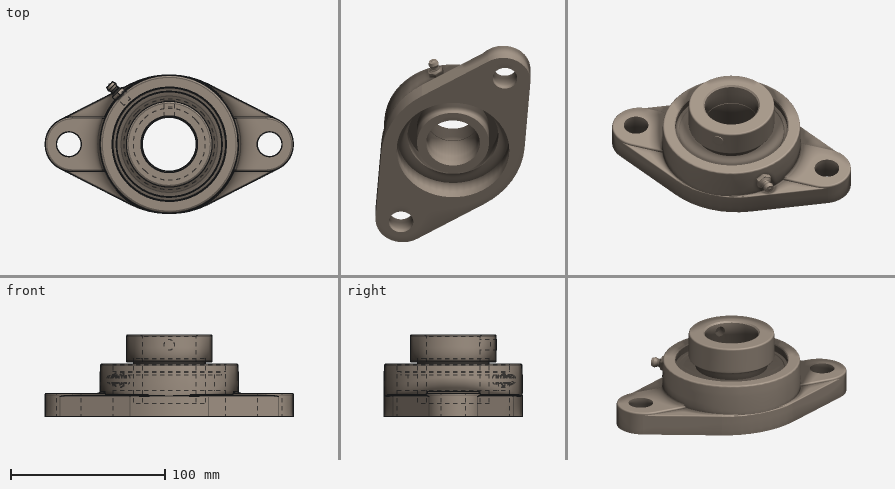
import cadquery as cq
import math

flange_length = 161.0
flange_width = 90.0
end_radius = 17.7
end_offset = flange_length / 2 - end_radius
waist_radius = 56.0
waist_offset = waist_radius - flange_width / 2
web_top = 13.7
web_edge_round = 0.6
pad_top = 15.1
pad_edge_round = 1.1
bolt_hole_diameter = 16.0
bolt_hole_offset = 65.0

barrel_top = 34.1
barrel_middle = 23.0
barrel_radius = 44.9
barrel_top_radius = 44.5
barrel_foot_radius = 44.8
barrel_edge_round = 1.1
pad_foot_round = 1.6
web_foot_round = 0.8
seat_diameter = 73.1
seat_mouth_diameter = 74.2

shaft_diameter = 35.0
outer_ring_half_width = 6.1
outer_ring_inner_diameter = 59.0
outer_ring_chamfer = 0.5
seal_diameter = 68.0
seal_cone_diameter = 62.5
seal_thickness = 1.6
seal_drop = 0.5
seal_cone_rise = 0.6
inner_ring_diameter = 46.7
inner_ring_top = 37.7
inner_ring_bottom = 2 * barrel_middle - inner_ring_top
inner_ring_chamfer = 0.5

collar_diameter = 55.5
collar_bottom = 35.3
collar_top = 53.0
collar_edge_round = 1.1
collar_bore_chamfer = 1.0
screw_diameter = 6.8
screw_height = 46.5
screw_inner_end = 24.2
screw_outer_end = 28.2

nipple_height = 24.0
nipple_angle = 135.0
shank_diameter = 6.0
shank_start = 38.6
hex_corner_diameter = 10.5
hex_start = 44.0
hex_end = 47.7
cone_end = 48.6
cone_base_diameter = 8.5
cone_tip_diameter = 6.0
neck_diameter = 5.2
neck_start = 49.5
neck_end = 50.5
head_diameter = 6.8
head_middle = 52.5
tip_diameter = 5.5
tip_end = 54.5
check_ball_diameter = 2.5
check_ball_rise = 0.5


def ring(outer_diameter, inner_diameter, bottom, top):
    """A plain ring about the bearing axis."""
    return (
        cq.Workplane("XY", origin=(0, 0, bottom))
        .circle(outer_diameter / 2)
        .circle(inner_diameter / 2)
        .extrude(top - bottom)
    )


def flange_outline():
    """Two end arcs joined to two flatter waist arcs by their common tangent lines."""
    span = math.hypot(end_offset, waist_offset)
    tilt = math.asin((waist_radius - end_radius) / span) - math.atan2(waist_offset, end_offset)
    waist_x = waist_radius * math.sin(tilt)
    waist_y = waist_radius * math.cos(tilt) - waist_offset
    end_x = end_offset + end_radius * math.sin(tilt)
    end_y = end_radius * math.cos(tilt)
    return (
        cq.Workplane("XY")
        .moveTo(-waist_x, waist_y)
        .threePointArc((0, flange_width / 2), (waist_x, waist_y))
        .lineTo(end_x, end_y)
        .threePointArc((flange_length / 2, 0), (end_x, -end_y))
        .lineTo(waist_x, -waist_y)
        .threePointArc((0, -flange_width / 2), (-waist_x, -waist_y))
        .lineTo(-end_x, -end_y)
        .threePointArc((-flange_length / 2, 0), (-end_x, end_y))
        .close()
    )


def barrel():
    """A slightly bulged drum with a rounded top edge."""
    drum = (
        cq.Workplane("XZ")
        .lineTo(barrel_foot_radius, 0)
        .lineTo(barrel_foot_radius, web_top)
        .threePointArc((barrel_radius, barrel_middle), (barrel_top_radius, barrel_top))
        .lineTo(0, barrel_top)
        .close()
        .revolve(360, (0, 0, 0), (0, 1, 0))
    )
    return drum.faces(">Z").edges().fillet(barrel_edge_round)


def pad():
    """The raised strip around both bolt holes, with the same rounded ends as the flange."""
    strip = cq.Workplane("XY").slot2D(flange_length, 2 * end_radius).extrude(pad_top)
    return strip.faces(">Z").edges().fillet(pad_edge_round)


def foot_fillet(level, size):
    """A ring that rounds the corner between the barrel and a flat at the given height."""
    core_radius = barrel_foot_radius - size
    fillet_top = level + size
    sag = size * (1 - math.sqrt(0.5))
    return (
        cq.Workplane("XZ")
        .moveTo(core_radius, level)
        .lineTo(barrel_foot_radius + size, level)
        .threePointArc((barrel_foot_radius + sag, level + sag), (barrel_foot_radius, fillet_top))
        .lineTo(core_radius, fillet_top)
        .close()
        .revolve(360, (0, 0, 0), (0, 1, 0))
    )


def pad_foot():
    flat_width = 2 * (end_radius - pad_edge_round)
    flat = cq.Workplane("XY").rect(flange_length, flat_width).extrude(barrel_top)
    return foot_fillet(pad_top, pad_foot_round).intersect(flat)


def web_foot():
    flat = flange_outline().offset2D(-web_edge_round).extrude(barrel_top)
    return foot_fillet(web_top, web_foot_round).intersect(flat)


def make_housing(nipple):
    web = flange_outline().extrude(web_top).faces(">Z").edges().fillet(web_edge_round)
    body = web.union(pad()).union(barrel()).union(web_foot()).union(pad_foot())
    bolt_holes = (
        cq.Workplane("XY")
        .pushPoints([(-bolt_hole_offset, 0), (bolt_hole_offset, 0)])
        .circle(bolt_hole_diameter / 2)
        .extrude(barrel_top)
    )
    seat = cq.Workplane("XY").circle(seat_diameter / 2).extrude(barrel_top)
    mouth_chamfer = (seat_mouth_diameter - seat_diameter) / 2
    mouth = (
        cq.Workplane("XY", origin=(0, 0, barrel_top))
        .circle(seat_mouth_diameter / 2)
        .extrude(-mouth_chamfer, taper=45)
    )
    return body.cut(bolt_holes).cut(seat).cut(mouth).cut(nipple)


def make_outer_ring():
    top = barrel_middle + outer_ring_half_width
    bottom = barrel_middle - outer_ring_half_width
    body = ring(seat_diameter, outer_ring_inner_diameter, bottom, top)
    recess = ring(seal_diameter, outer_ring_inner_diameter, top - seal_drop - seal_thickness, top)
    body = body.cut(recess)
    recess_edge = body.faces(">Z").edges(cq.selectors.RadiusNthSelector(0))
    return recess_edge.chamfer(outer_ring_chamfer)


def make_seal():
    """A washer, flat at its rim, whose top rises as a shallow cone to the inner ring."""
    rim_top = barrel_middle + outer_ring_half_width - seal_drop
    bottom = rim_top - seal_thickness
    return (
        cq.Workplane("XZ")
        .moveTo(inner_ring_diameter / 2, bottom)
        .lineTo(seal_diameter / 2, bottom)
        .lineTo(seal_diameter / 2, rim_top)
        .lineTo(seal_cone_diameter / 2, rim_top)
        .lineTo(inner_ring_diameter / 2, rim_top + seal_cone_rise)
        .close()
        .revolve(360, (0, 0, 0), (0, 1, 0))
    )


def make_inner_ring():
    body = ring(inner_ring_diameter, shaft_diameter, inner_ring_bottom, inner_ring_top)
    bore_edge = body.faces(">Z").edges(cq.selectors.RadiusNthSelector(0))
    return bore_edge.chamfer(inner_ring_chamfer)


def make_set_screw():
    return (
        cq.Workplane("XZ", origin=(0, screw_outer_end, screw_height))
        .circle(screw_diameter / 2)
        .extrude(screw_outer_end - screw_inner_end)
    )


def make_collar():
    body = cq.Workplane("XY", origin=(0, 0, collar_bottom)).circle(collar_diameter / 2)
    body = body.extrude(collar_top - collar_bottom).edges().fillet(collar_edge_round)
    bore = cq.Workplane("XY").circle(shaft_diameter / 2).extrude(collar_top)
    body = body.cut(bore)
    body = body.faces(">Z").edges(cq.selectors.RadiusNthSelector(0)).chamfer(collar_bore_chamfer)
    ring_recess = cq.Workplane("XY").circle(inner_ring_diameter / 2).extrude(inner_ring_top)
    screw_hole = (
        cq.Workplane("XZ", origin=(0, 0, screw_height))
        .circle(screw_diameter / 2)
        .extrude(-collar_diameter)
    )
    return body.cut(ring_recess).cut(screw_hole)


def make_nipple():
    """Built along X from the bearing axis, then turned to its place on the barrel."""
    turned = (
        cq.Workplane("XZ")
        .moveTo(shank_start, 0)
        .lineTo(shank_start, shank_diameter / 2)
        .lineTo(hex_end, shank_diameter / 2)
        .lineTo(hex_end, cone_base_diameter / 2)
        .lineTo(cone_end, cone_tip_diameter / 2)
        .lineTo(neck_start, cone_tip_diameter / 2)
        .lineTo(neck_start, neck_diameter / 2)
        .lineTo(neck_end, neck_diameter / 2)
        .lineTo(head_middle, head_diameter / 2)
        .lineTo(tip_end, tip_diameter / 2)
        .lineTo(tip_end, check_ball_diameter / 2)
        .lineTo(tip_end + check_ball_rise, 0)
        .close()
        .revolve(360, (0, 0, 0), (1, 0, 0))
    )
    hexagon = (
        cq.Workplane("YZ", origin=(hex_start, 0, 0))
        .transformed(rotate=(0, 0, 90))
        .polygon(6, hex_corner_diameter)
        .extrude(hex_end - hex_start)
    )
    nipple = turned.union(hexagon)
    return nipple.rotate((0, 0, 0), (0, 0, 1), nipple_angle).translate((0, 0, nipple_height))


nipple = make_nipple()
housing = make_housing(nipple)
outer_ring = make_outer_ring()
seal = make_seal()
inner_ring = make_inner_ring()
collar = make_collar()
set_screw = make_set_screw()

result = cq.Compound.makeCompound(
    [
        housing.val(),
        outer_ring.val(),
        seal.val(),
        inner_ring.val(),
        collar.val(),
        set_screw.val(),
        nipple.val(),
    ]
)